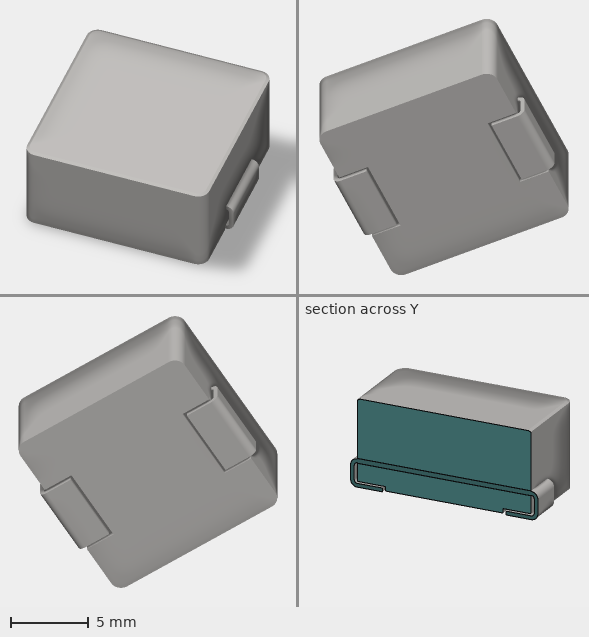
import cadquery as cq

overall_length = 13.5
overall_height = 6.2

housing_side = 12.5
housing_standoff = 0.1
corner_radius = 0.75
top_bevel_inset = 0.2
top_bevel_drop = 0.1

lead_thickness = 0.3
lead_width = 4.7
lead_height = 2.0
foot_length = 1.82

recess_side_clearance = 0.2
recess_top_clearance = 0.11

bend_outer_radius = (overall_length - housing_side) / 2
bend_inner_radius = bend_outer_radius - lead_thickness
foot_tip_x = housing_side / 2 - foot_length
recess_width = lead_width + 2 * recess_side_clearance
recess_length = foot_length + recess_side_clearance
recess_top = lead_thickness + recess_top_clearance
bevel_start = overall_height - top_bevel_drop
crossbar_bottom = lead_height - lead_thickness


def block(length, width, bottom, top):
    """Box centred on the Z axis that spans bottom to top."""
    return (
        cq.Workplane("XY")
        .workplane(offset=bottom)
        .rect(length, width)
        .extrude(top - bottom)
    )


def bevel_top(body):
    """Shallow bevel around the top edge, wider than it is deep."""
    top_side = housing_side - 2 * top_bevel_inset
    top_radius = corner_radius - top_bevel_inset
    lower_outline = cq.Sketch().rect(housing_side, housing_side).vertices().fillet(corner_radius)
    upper_outline = cq.Sketch().rect(top_side, top_side).vertices().fillet(top_radius)
    lift = cq.Location(cq.Vector(0, 0, top_bevel_drop))
    cap = (
        cq.Workplane("XY")
        .workplane(offset=bevel_start)
        .placeSketch(lower_outline, upper_outline.moved(lift))
        .loft()
    )
    return body.union(cap)


def make_housing():
    """Square housing with a crossbar slot and a recess above each foot."""
    body = block(housing_side, housing_side, housing_standoff, bevel_start)
    body = bevel_top(body.edges("|Z").fillet(corner_radius))

    crossbar_slot = block(housing_side, lead_width, crossbar_bottom, lead_height)
    body = body.cut(crossbar_slot)

    recess = block(recess_length, recess_width, housing_standoff, recess_top)
    recess_center_x = (housing_side - recess_length) / 2
    for side in (-1, 1):
        body = body.cut(recess.translate((side * recess_center_x, 0, 0)))
    return body


def make_lead_frame():
    """Strip bent into a flat loop that is open between the two feet."""
    inner_length = overall_length - 2 * lead_thickness
    outer = block(overall_length, lead_width, 0, lead_height)
    outer = outer.edges("|Y").fillet(bend_outer_radius)
    inner = block(inner_length, lead_width, lead_thickness, crossbar_bottom)
    inner = inner.edges("|Y").fillet(bend_inner_radius)
    foot_gap = block(2 * foot_tip_x, lead_width, 0, lead_thickness)
    return outer.cut(inner).cut(foot_gap)


housing = make_housing()
lead_frame = make_lead_frame()

result = cq.Compound.makeCompound([housing.solids().val(), lead_frame.solids().val()])